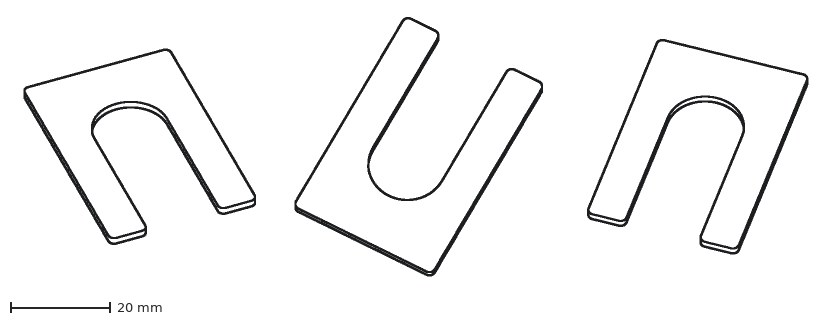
import cadquery as cq

length = 47.75
width = 31.75
thickness = 1.58
corner_radius = 1.25

slot_width = 15.7
web_length = 11.15
slot_radius = slot_width / 2
slot_center_x = web_length + slot_radius

half_width = width / 2

outline = (
    cq.Workplane("XY")
    .moveTo(0, -half_width)
    .lineTo(length, -half_width)
    .lineTo(length, -slot_radius)
    .lineTo(slot_center_x, -slot_radius)
    .threePointArc((web_length, 0), (slot_center_x, slot_radius))
    .lineTo(length, slot_radius)
    .lineTo(length, half_width)
    .lineTo(0, half_width)
    .close()
)
plate = outline.extrude(thickness)

corner_points = [
    (x, side * y)
    for x, y in [(0, half_width), (length, half_width), (length, slot_radius)]
    for side in (-1, 1)
]
for x, y in corner_points:
    corner_edge = cq.selectors.NearestToPointSelector((x, y, thickness / 2))
    plate = plate.edges("|Z").edges(corner_edge).fillet(corner_radius)

result = plate